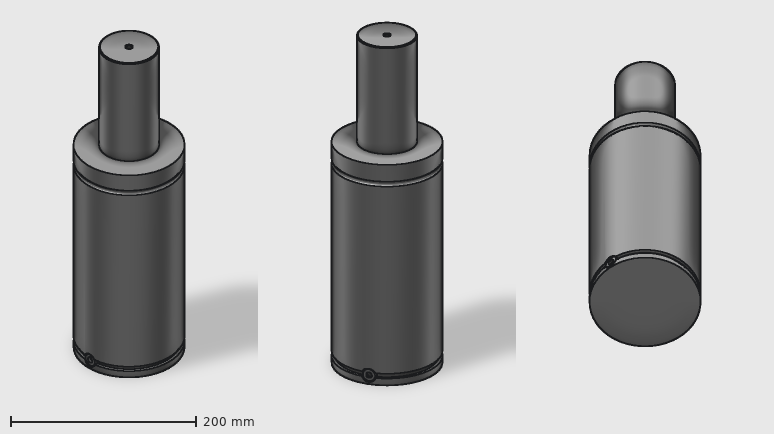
import cadquery as cq

total_height = 390.0
body_diameter = 120.0
body_height = 263.0
rod_diameter = 65.0
rod_edge_chamfer = 1.0

upper_groove_height = 240.0
upper_groove_width = 6.0
upper_groove_depth = 2.5

lower_groove_bottom = 8.0
lower_groove_width = 6.0
lower_groove_depth = 4.0

rod_hole_diameter = 6.5
rod_hole_mouth_diameter = 8.5
rod_hole_depth = 15.5
rod_hole_tip_depth = 2.0

plug_height = 10.5
plug_bore_diameter = 16.0
plug_diameter = 14.0
plug_face_offset = 59.3
plug_length = 11.7
plug_gap_depth = 6.0
plug_socket_diameter = 6.5
plug_socket_depth = 4.0

body_radius = body_diameter / 2


def make_body():
    """Revolve the grooved cylinder body about the Z axis."""
    lower_groove_top = lower_groove_bottom + lower_groove_width
    lower_groove_floor = body_radius - lower_groove_depth
    return (
        cq.Workplane("XZ")
        .lineTo(body_radius, 0)
        .lineTo(body_radius, lower_groove_bottom)
        .lineTo(lower_groove_floor, lower_groove_bottom)
        .lineTo(lower_groove_floor, lower_groove_top)
        .lineTo(body_radius, lower_groove_top)
        .lineTo(body_radius, upper_groove_height - upper_groove_width / 2)
        .threePointArc(
            (body_radius - upper_groove_depth, upper_groove_height),
            (body_radius, upper_groove_height + upper_groove_width / 2),
        )
        .lineTo(body_radius, body_height)
        .lineTo(0, body_height)
        .close()
        .revolve(360, (0, 0), (0, 1))
    )


def make_rod():
    """Piston rod with a chamfered end and a chamfered, drill-pointed hole."""
    rod = (
        cq.Workplane("XY", origin=(0, 0, body_height))
        .circle(rod_diameter / 2)
        .extrude(total_height - body_height)
        .faces(">Z")
        .chamfer(rod_edge_chamfer)
    )
    return rod.cut(make_rod_hole())


def make_rod_hole():
    """Revolve the hole in the rod end: 45 degree mouth, straight wall and conical tip."""
    hole_radius = rod_hole_diameter / 2
    mouth_radius = rod_hole_mouth_diameter / 2
    mouth_depth = mouth_radius - hole_radius
    wall_bottom = total_height - rod_hole_depth
    return (
        cq.Workplane("XZ")
        .moveTo(0, total_height)
        .lineTo(mouth_radius, total_height)
        .lineTo(hole_radius, total_height - mouth_depth)
        .lineTo(hole_radius, wall_bottom)
        .lineTo(0, wall_bottom - rod_hole_tip_depth)
        .close()
        .revolve(360, (0, 0), (0, 1))
    )


def plug_cylinder(diameter, face_offset, length):
    """Cylinder on the plug axis, running inward from face_offset on the -Y side."""
    return (
        cq.Workplane("XZ", origin=(0, -face_offset, plug_height))
        .circle(diameter / 2)
        .extrude(-length)
    )


def add_plug(body):
    """Sink a bore into the body side and leave a plug with a round socket standing in it."""
    plug_root = plug_face_offset - plug_gap_depth
    bore = plug_cylinder(plug_bore_diameter, body_radius, body_radius - plug_root)
    plug = plug_cylinder(plug_diameter, plug_face_offset, plug_length)
    seat = plug_cylinder(plug_bore_diameter, plug_root, plug_length - plug_gap_depth)
    socket = plug_cylinder(plug_socket_diameter, plug_face_offset, plug_socket_depth)
    return body.cut(bore).union(seat).union(plug).cut(socket)


result = add_plug(make_body()).union(make_rod())